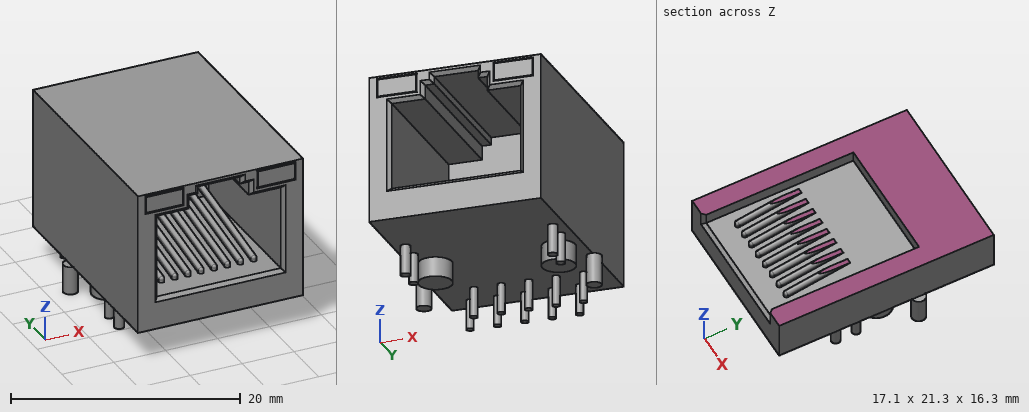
import cadquery as cq
import math


body_width = 15.91
body_length = 21.3
body_height = 13.6

cavity_depth = 14.9
cavity_floor = 3.0
cavity_steps = [(5.96, 11.01), (2.88, 12.31), (2.02, 13.0)]
mouth_chamfer = 0.35

window_width = 3.7
window_height = 1.75
window_center_x = 5.39
window_center_z = 12.52
groove_width = 0.09
groove_depth = 0.21

signal_count = 10
signal_row_span = 11.42
pitch = signal_row_span / (signal_count - 1)
contact_count = 8
contact_width = 0.53
contact_side_height = 0.25
contact_bend_y = 2.65
contact_bend_z = 3.28
contact_slope = 10.0
finger_embed = 0.21

pin_length = 2.73
signal_diameter = 0.68
signal_rows_y = [19.68, 17.15]
front_lamp_pin_diameter = 0.9
rear_lamp_pin_diameter = 0.8
lamp_pin_x = 6.82
front_lamp_pin_y = 6.22
rear_lamp_pin_y = 8.25

overall_width = 17.13
post_diameter = 1.36
post_x = (overall_width - post_diameter) / 2
post_y = 13.87

peg_diameter = 3.05
peg_length = 1.8
peg_x = 5.7
peg_y = 10.82


def front_block(width, bottom, top, depth, center_x=0):
    """Box that runs back from the open face."""
    return cq.Workplane("XY").box(width, depth, top - bottom, centered=(True, False, False)).translate(
        (center_x, 0, bottom)
    )


def stepped_outline(growth, y):
    """Closed stepped outline of the opening in the plane at y, grown outward all round."""
    right_side = []
    level = cavity_floor - growth
    for half_width, top in cavity_steps:
        right_side.append((half_width + growth, level))
        level = top + growth
        right_side.append((half_width + growth, level))
    left_side = [(-x, z) for x, z in reversed(right_side)]
    corners = [cq.Vector(x, y, z) for x, z in right_side + left_side]
    return cq.Wire.makePolygon(corners, close=True)


def plug_cavity():
    """Stepped opening with a 45 degree lead-in at its mouth."""
    inner = stepped_outline(0, 0)
    cavity = cq.Solid.extrudeLinear(inner, [], cq.Vector(0, cavity_depth, 0))
    lead_in = cq.Solid.makeLoft([stepped_outline(mouth_chamfer, 0), stepped_outline(0, mouth_chamfer)], True)
    return cq.Workplane(obj=cavity).union(cq.Workplane(obj=lead_in))


def window_groove(center_x):
    """Rectangular groove around one indicator window."""
    bottom = window_center_z - window_height / 2
    top = bottom + window_height
    outer = front_block(window_width, bottom, top, groove_depth, center_x)
    inner = front_block(
        window_width - 2 * groove_width, bottom + groove_width, top - groove_width, groove_depth, center_x
    )
    return outer.cut(inner)


def contact(x):
    """Finger with a rounded top that stands on the cavity floor, bends and slopes up into the back wall."""
    radius = contact_width / 2
    bend = (x, contact_bend_y, contact_bend_z)
    foot_bottom = cavity_floor - finger_embed
    angle = math.radians(contact_slope)
    finger_length = (cavity_depth - contact_bend_y) / math.cos(angle) + finger_embed
    along_finger = cq.Plane(origin=bend, xDir=(1, 0, 0), normal=(0, math.cos(angle), math.sin(angle)))
    finger = (
        cq.Workplane(along_finger)
        .moveTo(-radius, 0)
        .lineTo(-radius, contact_side_height)
        .lineTo(radius, contact_side_height)
        .lineTo(radius, 0)
        .threePointArc((0, -radius), (-radius, 0))
        .close()
        .extrude(finger_length)
    )
    foot = cq.Workplane("XY", origin=(x, contact_bend_y, foot_bottom)).circle(radius)
    foot = foot.extrude(contact_bend_z - foot_bottom)
    elbow = cq.Workplane("XY").sphere(radius).translate(bend)
    return elbow.union(foot).union(finger)


def pins(points, diameter, length):
    """Round pins hanging from the underside at the given places."""
    return cq.Workplane("XY").pushPoints(points).circle(diameter / 2).extrude(-length)


def row_positions(count):
    """X places of a centred row at the common pitch."""
    return [(i - (count - 1) / 2) * pitch for i in range(count)]


result = front_block(body_width, 0, body_height, body_length).cut(plug_cavity())
for side in (-1, 1):
    result = result.cut(window_groove(side * window_center_x))

for x in row_positions(contact_count):
    result = result.union(contact(x))

signal_points = [(x, signal_rows_y[i % 2]) for i, x in enumerate(row_positions(signal_count))]
result = result.union(pins(signal_points, signal_diameter, pin_length))

for x, y, diameter, length in [
    (lamp_pin_x, front_lamp_pin_y, front_lamp_pin_diameter, pin_length),
    (lamp_pin_x, rear_lamp_pin_y, rear_lamp_pin_diameter, pin_length),
    (post_x, post_y, post_diameter, pin_length),
    (peg_x, peg_y, peg_diameter, peg_length),
]:
    result = result.union(pins([(-x, y), (x, y)], diameter, length))